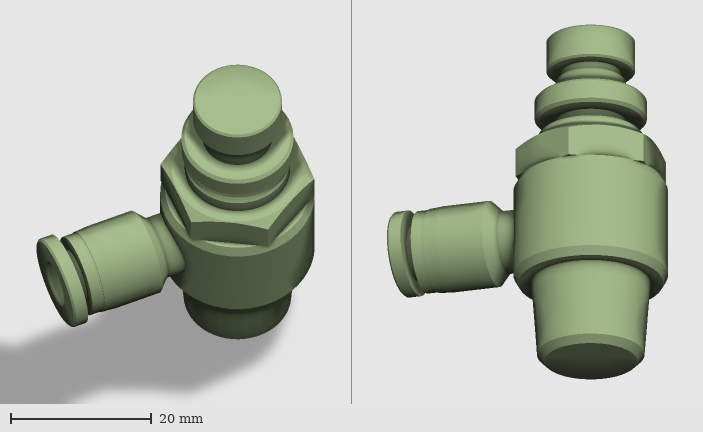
import cadquery as cq
import math

total_height = 49.4
thread_chamfer = 1.05
body_bottom = 12.05
body_top = 27.5
hex_top = 32.6
collar_top = 34.98
lock_ring_bottom = 36.85
lock_ring_top = 40.45
stem_top = 43.4
cap_bottom = 44.45

body_radius = 10.99
body_bevel_width = 0.7
body_bevel_height = 1.25
thread_top_radius = 8.5
thread_low_radius = 7.65
collar_radius = 7.5
stem_radius = 5.015
lock_ring_radius = 7.98
neck_radius = 4.275
cap_radius = 6.3
edge_chamfer = 0.45
cap_chamfer = 0.3

hex_crown_radius = 9.4
hex_crown_angle = 30.0

outlet_height = 19.85
outlet_cone_start = 12.65
outlet_barrel_start = 14.3
outlet_taper_start = 21.05
outlet_lip_start = 23.1
outlet_lip_end = 24.95
release_ring_start = 26.15
outlet_end = 28.23
outlet_neck_radius = 4.5
barrel_radius = 6.18
taper_end_radius = 6.05
lip_radius = 5.905
groove_radius = 3.95
release_ring_half_width = 7.0
release_ring_half_height = 6.0
release_ring_chamfer = 0.3
tube_hole_radius = 3.2
tube_hole_chamfer = 0.175


def disc(radius, bottom, top, top_chamfer=0.0, bottom_chamfer=0.0):
    """Upright cylinder on the main axis with optional edge chamfers."""
    solid = cq.Workplane("XY").workplane(offset=bottom).circle(radius).extrude(top - bottom)
    if top_chamfer:
        solid = solid.faces(">Z").chamfer(top_chamfer)
    if bottom_chamfer:
        solid = solid.faces("<Z").chamfer(bottom_chamfer)
    return solid


def make_body():
    """Tapered thread and round body, turned about the main axis."""
    bevel_radius = body_radius - body_bevel_width
    profile = [
        (0, 0),
        (thread_low_radius - thread_chamfer, 0),
        (thread_low_radius, thread_chamfer),
        (thread_top_radius, body_bottom),
        (bevel_radius, body_bottom),
        (body_radius, body_bottom + body_bevel_height),
        (body_radius, body_top - body_bevel_height),
        (bevel_radius, body_top),
        (0, body_top),
    ]
    return cq.Workplane("XZ").polyline(profile).close().revolve(360, (0, 0), (0, 1))


def make_hexagon():
    """Hexagon with corners on the X axis, its top crowned by a cone."""
    prism = (
        cq.Workplane("XY")
        .workplane(offset=body_top)
        .polygon(6, 2 * body_radius)
        .extrude(hex_top - body_top)
    )
    crown_drop = (body_radius - hex_crown_radius) * math.tan(math.radians(hex_crown_angle))
    crown_profile = [
        (0, body_top),
        (body_radius, body_top),
        (body_radius, hex_top - crown_drop),
        (hex_crown_radius, hex_top),
        (0, hex_top),
    ]
    crown = cq.Workplane("XZ").polyline(crown_profile).close().revolve(360, (0, 0), (0, 1))
    return prism.intersect(crown)


def make_adjuster():
    """Collar, stem, lock ring and cap above the hexagon."""
    collar = disc(collar_radius, hex_top, collar_top, edge_chamfer)
    stem = disc(stem_radius, collar_top, stem_top, edge_chamfer)
    lock_ring = disc(lock_ring_radius, lock_ring_bottom, lock_ring_top, edge_chamfer, edge_chamfer)
    neck = disc(neck_radius, stem_top, cap_bottom)
    cap = disc(cap_radius, cap_bottom, total_height, cap_chamfer, cap_chamfer)
    return collar.union(stem).union(lock_ring).union(neck).union(cap)


def make_outlet():
    """Turned barrel along -Y, ending in an oval release ring."""
    profile = [
        (0, 0),
        (outlet_neck_radius, 0),
        (outlet_neck_radius, -outlet_cone_start),
        (barrel_radius, -outlet_barrel_start),
        (barrel_radius, -outlet_taper_start),
        (taper_end_radius, -outlet_lip_start),
        (lip_radius, -outlet_lip_start),
        (lip_radius, -outlet_lip_end),
        (groove_radius, -outlet_lip_end),
        (groove_radius, -release_ring_start),
        (0, -release_ring_start),
    ]
    barrel = (
        cq.Workplane("XY")
        .workplane(offset=outlet_height)
        .polyline(profile)
        .close()
        .revolve(360, (0, 0), (0, 1))
    )
    release_ring = (
        cq.Workplane("XZ", origin=(0, -release_ring_start, outlet_height))
        .ellipse(release_ring_half_width, release_ring_half_height)
        .extrude(outlet_end - release_ring_start)
        .faces("<Y")
        .chamfer(release_ring_chamfer)
    )
    return barrel.union(release_ring)


def make_tube_hole():
    """Blind tube socket with a small lead-in at its mouth."""
    mouth_radius = tube_hole_radius + tube_hole_chamfer
    profile = [
        (0, -outlet_barrel_start),
        (tube_hole_radius, -outlet_barrel_start),
        (tube_hole_radius, tube_hole_chamfer - outlet_end),
        (mouth_radius, -outlet_end),
        (0, -outlet_end),
    ]
    return (
        cq.Workplane("XY")
        .workplane(offset=outlet_height)
        .polyline(profile)
        .close()
        .revolve(360, (0, 0), (0, 1))
    )


result = (
    make_body()
    .union(make_hexagon())
    .union(make_adjuster())
    .union(make_outlet())
    .cut(make_tube_hole())
)